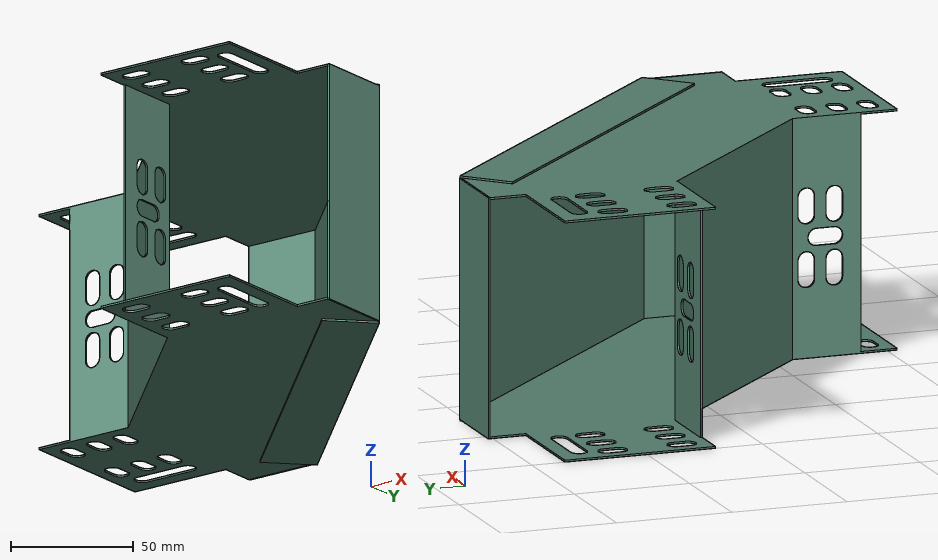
import cadquery as cq
import math

SIDE = 206.2
HEIGHT = 103.1
SHEET = 0.8

INNER_FACE = 124.5
INNER_BEND = 45.4
INNER_TAB_END = 15.7
MOUTH_OUTER = 190.0
SHOULDER = 46.2

OUTER_BEND = 80.5
FLANGE_DEPTH = 16.7
FLANGE_END_GAP = 0.5

PLATE_SLOT_WIDTH = 7.0
LONG_SLOT_LENGTH = 30.1
LONG_SLOT_CENTER = (23.0, 179.6)
SHORT_SLOT_LENGTH = 12.4
SHORT_SLOT_FIRST_X = 8.7
SHORT_SLOT_PITCH = 13.5
SHORT_SLOT_COLUMNS = 3
SHORT_SLOT_ROWS = (136.0, 166.0)

WALL_SLOT_WIDTH = 7.2
WALL_SLOT_LENGTH = 15.0
UPRIGHT_SLOTS_X = (27.2, 39.4)
UPRIGHT_SLOT_RISE = 13.5
LEVEL_SLOT_X = 31.1

PLATE_TOP = HEIGHT / 2 - SHEET
DIAGONAL = (1, -1, 0)


def offset_bend(bend, offset):
    """Bend position on a wall face moved by `offset` away from the origin."""
    return bend + offset * (math.sqrt(2) - 1)


def prism(points, bottom, top):
    """Straight prism over a closed outline, between two heights."""
    return cq.Workplane("XY", origin=(0, 0, bottom)).polyline(points).close().extrude(top - bottom)


def bent_wall(end, bend, face, thickness):
    """Upright wall: a leg along X, a diagonal and a leg along Y."""
    back = face + thickness
    back_bend = offset_bend(bend, thickness)
    outline = [
        (end, face), (bend, face), (face, bend), (face, end),
        (back, end), (back, back_bend), (back_bend, back), (end, back),
    ]
    return prism(outline, -PLATE_TOP, PLATE_TOP)


def with_mirror(shape):
    """Shape together with its mirror image across the plane X = Y."""
    return shape.union(shape.mirror(DIAGONAL))


def tray_plate():
    """Upper plate of the tray, fitting inside the cover wall."""
    edge = SIDE - SHEET
    edge_bend = offset_bend(OUTER_BEND, -SHEET)
    outline = [
        (0, INNER_FACE), (INNER_BEND, INNER_FACE), (INNER_FACE, INNER_BEND), (INNER_FACE, 0),
        (MOUTH_OUTER, 0), (MOUTH_OUTER, SHOULDER), (edge, SHOULDER), (edge, edge_bend),
        (edge_bend, edge), (SHOULDER, edge), (SHOULDER, MOUTH_OUTER), (0, MOUTH_OUTER),
    ]
    return prism(outline, PLATE_TOP - SHEET, PLATE_TOP)


def slots(plane, centers, length, width, angle, depth):
    """Equal slot cutters on one plane, turned by `angle` degrees."""
    return plane.pushPoints(centers).slot2D(length, width, angle).extrude(depth)


def plate_slots():
    """Cutters for the slots in the tongues of both plates."""
    short_centers = [
        (SHORT_SLOT_FIRST_X + column * SHORT_SLOT_PITCH, y)
        for column in range(SHORT_SLOT_COLUMNS)
        for y in SHORT_SLOT_ROWS
    ]
    base = cq.Workplane("XY", origin=(0, 0, -HEIGHT / 2))
    long_slot = slots(base, [LONG_SLOT_CENTER], LONG_SLOT_LENGTH, PLATE_SLOT_WIDTH, 0, HEIGHT)
    short_slots = slots(base, short_centers, SHORT_SLOT_LENGTH, PLATE_SLOT_WIDTH, 90, HEIGHT)
    return with_mirror(long_slot.union(short_slots))


def wall_slots():
    """Cutters for the slots in both inner wall tabs."""
    upright_centers = [(x, z) for x in UPRIGHT_SLOTS_X for z in (-UPRIGHT_SLOT_RISE, UPRIGHT_SLOT_RISE)]
    base = cq.Workplane("XZ", origin=(0, INNER_FACE + SHEET, 0))
    upright = slots(base, upright_centers, WALL_SLOT_LENGTH, WALL_SLOT_WIDTH, 90, SHEET)
    level = slots(base, [(LEVEL_SLOT_X, 0)], WALL_SLOT_LENGTH, WALL_SLOT_WIDTH, 0, SHEET)
    return with_mirror(upright.union(level))


def make_tray():
    """Tray body: two slotted plates and the inner wall between them."""
    plate = tray_plate()
    plates = plate.union(plate.mirror("XY")).cut(plate_slots())
    wall = bent_wall(INNER_TAB_END, INNER_BEND, INNER_FACE, SHEET).cut(wall_slots())
    return plates.union(wall)


def make_cover():
    """Cover body: the outer wall and a flange over each tray plate."""
    wall = bent_wall(SHOULDER, OUTER_BEND, SIDE, -SHEET)
    near = OUTER_BEND + FLANGE_END_GAP
    far = SIDE - FLANGE_END_GAP
    flange_outline = [
        (near, far), (far, near),
        (far - FLANGE_DEPTH, near - FLANGE_DEPTH), (near - FLANGE_DEPTH, far - FLANGE_DEPTH),
    ]
    flange = prism(flange_outline, PLATE_TOP, HEIGHT / 2)
    return wall.union(flange).union(flange.mirror("XY"))


tray = make_tray()
cover = make_cover()
result = cq.Compound.makeCompound([tray.val(), cover.val()])